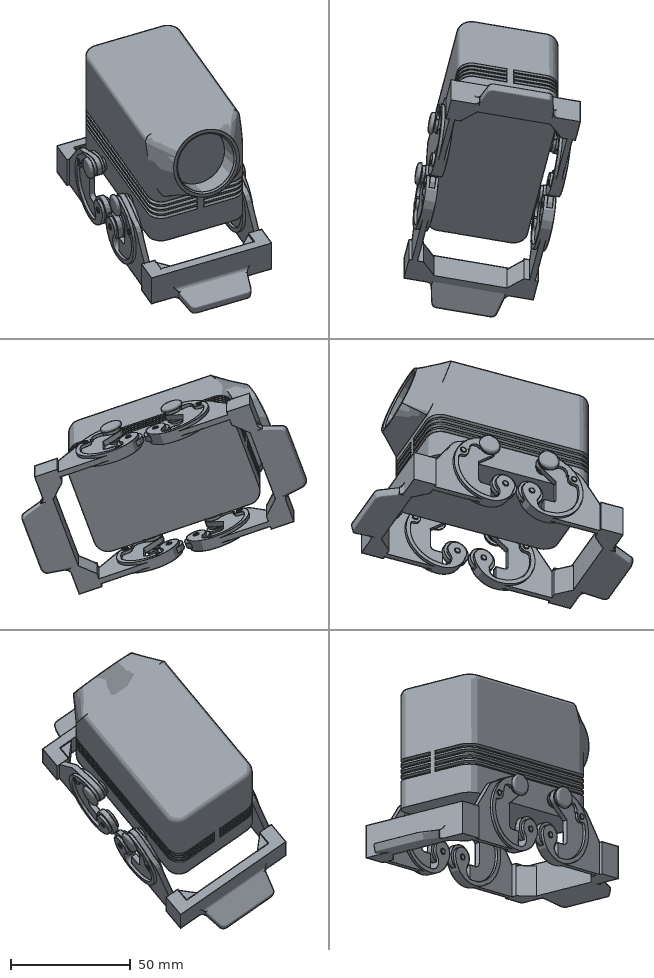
import cadquery as cq
import math

HOOD_LENGTH = 73.1
HOOD_WIDTH = 43.0
HOOD_BOTTOM = 22.0
HOOD_TOP = 74.0
HOOD_CORNER = 6.1
HOOD_TOP_FILLET = 3.0

OUTLET_TILT = 17.5
NECK_FOOT_Z = 45.7
OUTLET_X = 42.5
OUTLET_Z = 63.0
OUTLET_RADIUS = 15.0
BORE_RADIUS = 12.9
BORE_CHAMFER = 0.7

GROOVE_COUNT = 4
GROOVE_PITCH = 2.5
GROOVE_DEPTH = 0.8
GROOVE_TOP = 43.3
GROOVE_BRIDGE = 3.0

FRAME_OUTER_X = 47.6
FRAME_INNER_X = 37.6
FRAME_HALF_WIDTH = 27.6
FRAME_HEIGHT = 14.0
BAR_THICKNESS = 3.9
LUG_WIDTH = 6.1
GUSSET_REACH = 5.9
GUSSET_STEP = 1.0

TAB_END_X = 59.0
TAB_DROOP = 15.0
TAB_TAPER = 13.0
TAB_THICKNESS = 4.0
TAB_TOP_Z = 4.0
TAB_HALF_WIDTH = 16.2
TAB_CORNER = 2.4
TAB_EDGE_FILLET = 0.7
TAB_ROOT = 1.7

PIN_X = 13.4
PIN_Z = 28.0
LEVER_THICKNESS = 5.0
PLATE_THICKNESS = 2.4
RING_Z = 15.7
RING_RADIUS = 15.9
RING_WIDTH = 1.9
ROLLER_X = 6.0
ROLLER_Z = 10.5
ROLLER_RADIUS = 5.5
ROLLER_CHEEK_RADIUS = 4.2
SLOT_X = 12.4
RIVET_X = 25.2
RIVET_Z = 22.3
RIVET_RADIUS = 1.3
RIVET_RISE = 0.4
RIVET_CHAMFER = 0.2
RIVET_PAD_RADIUS = 2.5
PAD_FILLET = 1.4
POCKET_X = 19.5
POCKET_Z = 24.3
POCKET_RADIUS = 2.8

MOUTH_X = 17.7
MOUTH_TOP = 19.5
MOUTH_BOTTOM = 8.6
MOUTH_CORNER = 2.0
PLATE_TIP_X = 12.1
SHOULDER = (-28.9, 26.3)
SHOULDER_RADIUS = 6.5
PLATE_EYE_RADIUS = 4.0

PIN_RADIUS = 2.8
PIN_END_Y = 29.5
PIN_EMBED = 2.4
HEAD_RADIUS = 4.6
HEAD_THICKNESS = 1.4
HEAD_FILLET = 1.1

RIM_EYE_RADIUS = RING_Z + RING_RADIUS - PIN_Z
LEVER_MID_Y = FRAME_HALF_WIDTH - LEVER_THICKNESS / 2


def polar(center, radius, angle):
    """Point at a distance and angle (degrees) from a center."""
    turn = math.radians(angle)
    return (center[0] + radius * math.cos(turn), center[1] + radius * math.sin(turn))


def heading(start, end):
    """Angle in degrees of the direction from start to end."""
    return math.degrees(math.atan2(end[1] - start[1], end[0] - start[0]))


def both_ends(body):
    return body.union(body.mirror("YZ"))


def both_sides(body):
    return body.union(body.mirror("XZ"))


def side_plane(thickness):
    """XZ sketch plane for a layer centered in the near lever cheek; extrude it toward -Y."""
    return cq.Workplane("XZ").workplane(offset=LEVER_MID_Y - thickness / 2)


def disc(x, z, radius, thickness):
    return side_plane(thickness).center(x, z).circle(radius).extrude(thickness)


def hood_section(z):
    outline = cq.Sketch().rect(HOOD_LENGTH, HOOD_WIDTH).vertices().fillet(HOOD_CORNER)
    return outline.moved(cq.Location(cq.Vector(0, 0, z)))


def groove_cutter(top):
    """Slab around the hood whose inside is a 45 degree ridge pointing inward."""
    middle = top - GROOVE_DEPTH
    bottom = middle - GROOVE_DEPTH
    slab = cq.Workplane().box(2 * HOOD_LENGTH, 2 * HOOD_WIDTH, top - bottom).translate((0, 0, middle))
    half_core = cq.Workplane().placeSketch(hood_section(bottom)).extrude(GROOVE_DEPTH, taper=45)
    upper_core = half_core.mirror("XY", (0, 0, middle))
    bridge = cq.Workplane().box(HOOD_LENGTH, GROOVE_BRIDGE, top - bottom).translate((0, 0, middle))
    return slab.cut(half_core).cut(upper_core).cut(bridge)


def make_hood():
    body = cq.Workplane().placeSketch(hood_section(HOOD_BOTTOM)).extrude(HOOD_TOP - HOOD_BOTTOM)
    body = body.faces(">Z").edges().fillet(HOOD_TOP_FILLET)

    tilt = math.radians(OUTLET_TILT)
    axis = cq.Vector(math.cos(tilt), 0, math.sin(tilt))
    foot = cq.Vector(HOOD_LENGTH / 2, 0, NECK_FOOT_Z)
    rim_center = cq.Vector(OUTLET_X, 0, OUTLET_Z)
    slant = cq.Workplane(cq.Plane(foot, (0, 1, 0), axis))
    body = body.cut(slant.rect(3 * HOOD_WIDTH, 3 * HOOD_LENGTH).extrude(HOOD_LENGTH))
    slant_face = body.faces(cq.selectors.DirectionMinMaxSelector(axis)).val()
    rim = cq.Wire.makeCircle(OUTLET_RADIUS, rim_center, axis)
    neck = cq.Solid.makeLoft([slant_face.outerWire(), rim], True)
    body = body.union(cq.Workplane(neck))

    neck_length = (rim_center - foot).dot(axis)
    rim_plane = cq.Workplane(cq.Plane(rim_center, (0, 1, 0), axis))
    body = body.cut(rim_plane.circle(BORE_RADIUS).extrude(-neck_length))
    flare = cq.Solid.makeCone(
        BORE_RADIUS + BORE_CHAMFER, BORE_RADIUS, BORE_CHAMFER, rim_center, axis * -1)
    body = body.cut(cq.Workplane(flare))

    for index in range(GROOVE_COUNT):
        body = body.cut(groove_cutter(GROOVE_TOP - index * GROOVE_PITCH))
    return body


def root_profile(plane, surface, slope):
    """Half profile of the tab root: a hollow fillet from the bar face onto a sloping surface.

    The first sketch axis runs along X, the second away from the tab's middle.
    """
    turn = math.radians(slope)
    radius = TAB_ROOT / math.tan(math.radians(45 - slope / 2))
    on_bar = (-FRAME_OUTER_X, surface + TAB_ROOT)
    on_tab = (-FRAME_OUTER_X - TAB_ROOT * math.cos(turn), surface - TAB_ROOT * math.sin(turn))
    center = (on_bar[0] - radius, on_bar[1])
    middle = polar(center, radius, heading(center, (-FRAME_OUTER_X, surface)))
    return (
        cq.Workplane(plane).moveTo(*on_bar).threePointArc(middle, on_tab)
        .lineTo(on_tab[0], 0).lineTo(-FRAME_OUTER_X, 0).close()
    )


def make_tab():
    droop = math.radians(TAB_DROOP)
    taper = math.tan(math.radians(TAB_TAPER))
    round_x = TAB_END_X - FRAME_OUTER_X - TAB_EDGE_FILLET * (1 - math.sin(droop))
    reach = round_x / math.cos(droop) + TAB_EDGE_FILLET
    embed = BAR_THICKNESS / 2
    root_half = TAB_HALF_WIDTH + embed * taper
    end_half = TAB_HALF_WIDTH - reach * taper
    normal = cq.Vector(-math.sin(droop), 0, math.cos(droop))
    top_plane = cq.Plane(
        (-FRAME_OUTER_X, 0, TAB_TOP_Z), (math.cos(droop), 0, math.sin(droop)), normal)
    blade = (
        cq.Workplane(top_plane)
        .polyline([(embed, root_half), (-reach, end_half), (-reach, -end_half), (embed, -root_half)])
        .close().extrude(-TAB_THICKNESS)
    )
    blade = blade.edges(cq.selectors.ParallelDirSelector(normal)).edges("<X").fillet(TAB_CORNER)
    blade = blade.faces(cq.selectors.ParallelDirSelector(normal)).edges().fillet(TAB_EDGE_FILLET)

    root_side = root_profile("XZ", TAB_TOP_Z, TAB_DROOP).extrude(FRAME_HALF_WIDTH, both=True)
    root_plan = both_sides(root_profile("XY", TAB_HALF_WIDTH, TAB_TAPER).extrude(FRAME_HEIGHT))
    return blade.union(root_side.intersect(root_plan))


def make_frame():
    bar_inner_x = FRAME_OUTER_X - BAR_THICKNESS
    pocket_half = FRAME_HALF_WIDTH - LUG_WIDTH
    half_outline = [
        (-FRAME_OUTER_X, 0), (-FRAME_OUTER_X, -FRAME_HALF_WIDTH), (-FRAME_INNER_X, -FRAME_HALF_WIDTH),
        (-FRAME_INNER_X, -pocket_half), (-bar_inner_x, -pocket_half), (-bar_inner_x, 0)]
    gusset_outline = [
        (-FRAME_INNER_X, -pocket_half), (-bar_inner_x, -pocket_half),
        (-bar_inner_x, -pocket_half + GUSSET_REACH)]
    half = cq.Workplane().polyline(half_outline).close().extrude(FRAME_HEIGHT)
    gusset = cq.Workplane().polyline(gusset_outline).close().extrude(FRAME_HEIGHT - GUSSET_STEP)
    return both_sides(half.union(gusset)).union(make_tab())


def hook(thickness):
    """Hook under the pin: the ring sweeps on below a slot and curls up around the roller."""
    ring_bottom = RING_Z - RING_RADIUS
    roller = (-ROLLER_X, ROLLER_Z)

    drop = roller[1] - ring_bottom
    side = roller[0] + PIN_X
    cheek = ROLLER_CHEEK_RADIUS
    sweep_radius = (side**2 + drop**2 - cheek**2) / (2 * (drop - cheek))
    sweep_center = (-PIN_X, ring_bottom + sweep_radius)
    sweep_end_angle = heading(sweep_center, roller)
    sweep_end = polar(sweep_center, sweep_radius, sweep_end_angle)
    sweep_middle = polar(sweep_center, sweep_radius, (sweep_end_angle - 90) / 2)

    floor = ring_bottom + RING_WIDTH
    rise = roller[1] - floor
    run = roller[0] + SLOT_X
    slot_radius = (run**2 + rise**2 - cheek**2) / (2 * (rise + cheek))
    slot_center = (-SLOT_X, floor + slot_radius)
    slot_end_angle = heading(slot_center, roller)
    slot_end = polar(slot_center, slot_radius, slot_end_angle)
    slot_middle = polar(slot_center, slot_radius, (slot_end_angle - 90) / 2)

    body = (
        side_plane(thickness).moveTo(-PIN_X, ring_bottom)
        .threePointArc(sweep_middle, sweep_end)
        .lineTo(*roller).lineTo(*slot_end)
        .threePointArc(slot_middle, (-SLOT_X, floor))
        .lineTo(-PIN_X, floor).close().extrude(thickness)
    )
    return body.union(disc(*roller, cheek, thickness))


def ring_half(radius, thickness):
    """Half disc of the ring, on the frame side of the pin."""
    return (
        side_plane(thickness).moveTo(-PIN_X, RING_Z - radius)
        .threePointArc((-PIN_X - radius, RING_Z), (-PIN_X, RING_Z + radius))
        .close().extrude(thickness)
    )


def eye_tangent(start, side):
    """Touch point of a line from start onto the plate eye; side 1 passes left of it, -1 right."""
    eye = (-PIN_X, PIN_Z)
    distance = math.dist(start, eye)
    spread = math.degrees(math.asin(PLATE_EYE_RADIUS / distance))
    length = math.sqrt(distance**2 - PLATE_EYE_RADIUS**2)
    return polar(start, length, heading(start, eye) + side * spread)


def make_rim():
    """Full-thickness rim: half ring, arm to the pin, rivet pad and hook."""
    thick = LEVER_THICKNESS
    opening = ring_half(RING_RADIUS - RING_WIDTH, thick)
    arm = (
        side_plane(thick)
        .polyline([(-RIVET_X, RIVET_Z), (-PIN_X, PIN_Z), (-PIN_X, RING_Z + RING_RADIUS),
                   (-RIVET_X, RING_Z + RING_RADIUS)])
        .close().extrude(thick).cut(disc(-POCKET_X, POCKET_Z, POCKET_RADIUS, thick))
    )
    pad = disc(-RIVET_X, RIVET_Z, RIVET_PAD_RADIUS, thick)
    rim = ring_half(RING_RADIUS, thick).cut(opening.cut(arm).cut(pad))

    corner_low = (-PIN_X - RING_RADIUS, -FRAME_HALF_WIDTH, RING_Z)
    corner_high = (-RIVET_X, 0, RIVET_Z - RIVET_PAD_RADIUS / 2)
    rim = rim.edges("|Y").edges(cq.selectors.BoxSelector(corner_low, corner_high)).fillet(PAD_FILLET)

    crest_end = eye_tangent(SHOULDER, 1)
    above = RING_Z + 2 * RING_RADIUS
    recess = (
        side_plane(PLATE_THICKNESS)
        .polyline([SHOULDER, crest_end, (crest_end[0], above), (SHOULDER[0], above)])
        .close().extrude(PLATE_THICKNESS)
    )
    rim = rim.cut(recess)
    return rim.union(disc(-PIN_X, PIN_Z, RIM_EYE_RADIUS, thick)).union(hook(thick))


def make_plate():
    """Thin middle plate joining the rim to the frame, with the roller on its hook."""
    thick = PLATE_THICKNESS
    eye = (-PIN_X, PIN_Z)
    mouth = (-MOUTH_X, MOUTH_TOP)
    web = (
        side_plane(thick)
        .polyline([(-PLATE_TIP_X, 0), (-FRAME_INNER_X, 0), (-FRAME_INNER_X, FRAME_HEIGHT),
                   SHOULDER, eye_tangent(SHOULDER, 1), eye, eye_tangent(mouth, -1), mouth,
                   (-MOUTH_X, MOUTH_BOTTOM), (-PLATE_TIP_X, MOUTH_BOTTOM)])
        .close().extrude(thick)
    )
    shoulder = cq.selectors.NearestToPointSelector((SHOULDER[0], -LEVER_MID_Y, SHOULDER[1]))
    mouth_corner = cq.selectors.NearestToPointSelector((-MOUTH_X, -LEVER_MID_Y, MOUTH_BOTTOM))
    web = web.edges("|Y").edges(shoulder).fillet(SHOULDER_RADIUS)
    web = web.edges("|Y").edges(mouth_corner).fillet(MOUTH_CORNER)
    web = web.union(disc(*eye, PLATE_EYE_RADIUS, thick))
    return web.union(disc(-ROLLER_X, ROLLER_Z, ROLLER_RADIUS, thick))


def make_rivet(x, z):
    length = LEVER_THICKNESS + 2 * RIVET_RISE
    return disc(x, z, RIVET_RADIUS, length).edges().chamfer(RIVET_CHAMFER)


def make_pin():
    """Pivot pin running from the hood wall out to a domed head."""
    head_y = PIN_END_Y - HEAD_THICKNESS
    root_y = HOOD_WIDTH / 2 - PIN_EMBED
    axis_plane = cq.Workplane("XZ").center(-PIN_X, PIN_Z)
    shaft = axis_plane.workplane(offset=root_y).circle(PIN_RADIUS).extrude(head_y - root_y)
    head = (
        axis_plane.workplane(offset=head_y)
        .circle(HEAD_RADIUS).extrude(HEAD_THICKNESS).faces("<Y").edges().fillet(HEAD_FILLET)
    )
    return shaft.union(head)


def make_cheek():
    cheek = make_plate().union(make_rim())
    cheek = cheek.union(make_rivet(-RIVET_X, RIVET_Z)).union(make_rivet(-ROLLER_X, ROLLER_Z))
    return cheek.union(make_pin())


lever = make_frame().union(both_sides(make_cheek()))
result = make_hood().union(both_ends(lever))